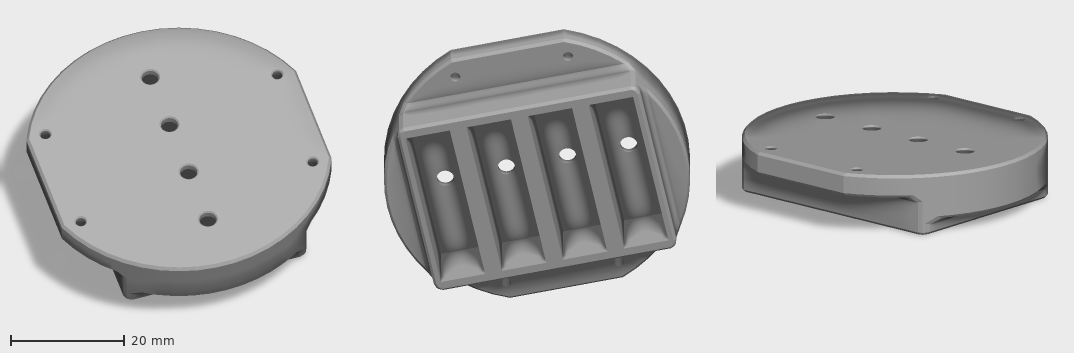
import cadquery as cq

disc_diameter = 54.0
disc_radius = disc_diameter / 2
width_over_flats = 50.0
total_height = 11.05

flange_thickness = 4.1
lobe_thickness = 8.2
block_length = 43.75
block_width = 33.9
root_chamfer = 1.0
edge_chamfer = 0.5

pocket_roof_thickness = 1.3
pocket_length_x = 8.0
pocket_length_y = 30.0

main_hole_diameter = 3.0
main_hole_pitch = 11.0
main_hole_count = 4
small_hole_diameter = 1.8
small_hole_spacing_x = 20.3
small_hole_spacing_y = 43.0
hole_chamfer = 0.25


def slab(length, width, bottom_depth, top_depth=0):
    """The part of the disc inside a centred length x width rectangle, between two depths below the top."""
    thickness = bottom_depth - top_depth
    disc = cq.Workplane("XY", origin=(0, 0, -top_depth)).circle(disc_radius).extrude(-thickness)
    bounds = cq.Workplane("XY", origin=(0, 0, -top_depth)).rect(length, width).extrude(-thickness)
    return disc.intersect(bounds)


def root_wedge(plane, wall_offset, ceiling_depth, across):
    """Sloped fill, carried past both ends of the slope so that its chamfer mitres with its neighbours."""
    top_depth = ceiling_depth - root_chamfer
    bottom_depth = ceiling_depth + 2 * root_chamfer
    top_half = wall_offset + 2 * root_chamfer
    bottom_half = wall_offset - root_chamfer
    slopes = (
        cq.Workplane(plane)
        .polyline(
            [
                (-top_half, -top_depth),
                (top_half, -top_depth),
                (bottom_half, -bottom_depth),
                (-bottom_half, -bottom_depth),
            ]
        )
        .close()
        .extrude(across / 2, both=True)
    )
    disc = slab(disc_diameter, disc_diameter, bottom_depth, top_depth)
    return disc.intersect(slopes).edges("%ELLIPSE").chamfer(edge_chamfer)


def stepped_body():
    """Flange, lobes and block are chamfered one by one, then joined through the sloped step roots."""
    flange = slab(disc_diameter, width_over_flats, flange_thickness)
    flange = flange.faces("<Z").edges().chamfer(edge_chamfer)
    lobes = slab(disc_diameter, block_width, lobe_thickness)
    lobes = lobes.edges("not(>Z)").chamfer(edge_chamfer)
    block = slab(block_length, block_width, total_height)
    block = block.edges("not(>Z)").chamfer(edge_chamfer)
    flange_roots = root_wedge("YZ", block_width / 2, flange_thickness, disc_diameter)
    lobe_roots = root_wedge("XZ", block_length / 2, lobe_thickness, block_width - 2 * edge_chamfer)
    body = flange.union(flange_roots).union(lobes).union(lobe_roots).union(block)
    return body.clean().faces(">Z").edges().chamfer(edge_chamfer)


def cut_pockets(body, points):
    """Rectangular pockets from the underside up to a thin roof."""
    pockets = (
        cq.Workplane("XY", origin=(0, 0, -total_height))
        .pushPoints(points)
        .rect(pocket_length_x, pocket_length_y)
        .extrude(total_height - pocket_roof_thickness)
    )
    return body.cut(pockets)


def drill(body, points, diameter):
    """Through holes with a chamfered mouth in the top face."""
    holes = cq.Workplane("XY").pushPoints(points).circle(diameter / 2).extrude(-total_height)
    mouths = (
        cq.Workplane("XY")
        .pushPoints(points)
        .circle(diameter / 2 + hole_chamfer)
        .extrude(-hole_chamfer, taper=45)
    )
    return body.cut(holes).cut(mouths)


main_hole_points = [
    ((i - (main_hole_count - 1) / 2) * main_hole_pitch, 0) for i in range(main_hole_count)
]
small_hole_points = [
    (sx * small_hole_spacing_x / 2, sy * small_hole_spacing_y / 2) for sx in (-1, 1) for sy in (-1, 1)
]

result = cut_pockets(stepped_body(), main_hole_points)
result = drill(result, main_hole_points, main_hole_diameter)
result = drill(result, small_hole_points, small_hole_diameter)